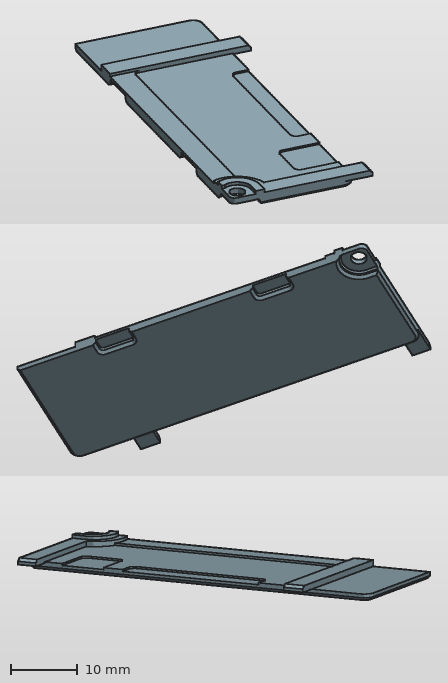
import cadquery as cq

LENGTH = 57.6
PLATE_DEPTH = 20.2
BAR_DEPTH = 23.2
REAR_CORNER_RADIUS = 1.5
PIVOT_CORNER_RADIUS = 0.9
EDGE_CHAMFER = 0.45

BASE_TOP = 1.05
FLOOR_TOP = 1.55
BAR_TOP = 2.0
RING_TOP = 2.55

LEFT_BAR_START = 9.55
LEFT_BAR_END = 12.8
RIGHT_BAR_START = 54.6

MAIN_RECESS_FRONT = 3.8
MAIN_RECESS_DEPTH = 0.35
POCKET_DEPTH = 0.3
LONG_POCKET = (18.6, 41.5, 17.2)
SQUARE_POCKET = (44.7, 51.65, 13.25)
RECESS_CORNER_RADIUS = 1.0

NOTCH_STARTS = (12.95, 39.0)
NOTCH_WIDTH = 5.55
NOTCH_DEPTH = 2.0
NOTCH_RADIUS = 0.5

PIVOT_X = 55.8
PIVOT_Y = 1.7
HOLE_DIAMETER = 2.4
CLEARANCE_RADIUS = 2.95
CLEARANCE_CHAMFER = 0.3
RING_INNER_RADIUS = 2.25
RING_OUTER_RADIUS = 3.7
RING_FLAT_X = 53.9
RING_FLAT_END = 1.0
BOSS_RADIUS = 5.05


def block(x_start, x_end, y_start, y_end, z_start, z_end):
    """Box given by its limits along each axis."""
    size = (x_end - x_start, y_end - y_start, z_end - z_start)
    return cq.Workplane("XY").box(*size, centered=False).translate((x_start, y_start, z_start))


def pivot_quadrant(radius, z_start, z_end):
    """Disc around the pivot, squared off towards the front and right edges."""
    disc = cq.Workplane("XY").center(PIVOT_X, PIVOT_Y).circle(radius).extrude(z_end - z_start)
    right_fill = block(PIVOT_X, LENGTH, 0, PIVOT_Y + radius, 0, z_end - z_start)
    limits = block(PIVOT_X - radius, LENGTH, 0, PIVOT_Y + radius, 0, z_end - z_start)
    return disc.union(right_fill).intersect(limits).translate((0, 0, z_start))


def rear_recess(x_start, x_end, y_start, floor):
    """Cutter with rounded front corners, running out through the rear edge."""
    cutter = block(x_start, x_end, y_start, BAR_DEPTH, floor, FLOOR_TOP)
    return cutter.edges("|Z and <Y").fillet(RECESS_CORNER_RADIUS)


def make_clearance():
    """Cutter for the underside of the pivot, with a chamfer along its ceiling."""
    cutter = pivot_quadrant(CLEARANCE_RADIUS, 0, BASE_TOP)
    ceiling_wall = cq.selectors.StringSyntaxSelector("not(<Y or >X)")
    return cutter.faces(">Z").edges(ceiling_wall).chamfer(CLEARANCE_CHAMFER)


def make_base():
    """Lower layer with underside notches and a chamfer on all but its front edge."""
    base = block(0, LENGTH, 0, PLATE_DEPTH, 0, BASE_TOP).edges("|Z and >Y").fillet(REAR_CORNER_RADIUS)
    for start in NOTCH_STARTS:
        notch = block(start, start + NOTCH_WIDTH, 0, NOTCH_DEPTH, 0, BASE_TOP)
        base = base.cut(notch.edges("|Z and >Y").fillet(NOTCH_RADIUS))
    base = base.cut(make_clearance())
    front_edges = cq.selectors.BoxSelector((-0.6, -0.05, -0.05), (LENGTH + 0.6, 0.05, 0.05))
    underside_edges = cq.selectors.StringSyntaxSelector("<Z")
    return base.faces("<Z").edges(underside_edges - front_edges).chamfer(EDGE_CHAMFER)


def make_plate():
    """Base with the raised floor on top and the stepped recesses cut into both."""
    floor = block(LEFT_BAR_START, LENGTH, 0, PLATE_DEPTH, BASE_TOP, FLOOR_TOP)
    plate = make_base().union(floor)
    recess_floor = FLOOR_TOP - MAIN_RECESS_DEPTH
    plate = plate.cut(rear_recess(LEFT_BAR_END, RIGHT_BAR_START, MAIN_RECESS_FRONT, recess_floor))
    for left, right, front in (LONG_POCKET, SQUARE_POCKET):
        plate = plate.cut(rear_recess(left, right, front, recess_floor - POCKET_DEPTH))
    return plate


def make_bar(x_start, x_end):
    """Cross bar with a chamfered top edge at its rear end."""
    bar = block(x_start, x_end, 0, BAR_DEPTH, BASE_TOP, BAR_TOP)
    return bar.edges(">Y and >Z").chamfer(EDGE_CHAMFER)


def make_pivot():
    """Stepped boss with a raised ring around the pivot."""
    boss_limits = block(PIVOT_X - BOSS_RADIUS, LENGTH, 0, PLATE_DEPTH, BASE_TOP, BAR_TOP)
    boss = cq.Workplane("XY").workplane(offset=BASE_TOP).center(PIVOT_X, PIVOT_Y)
    boss = boss.circle(BOSS_RADIUS).extrude(BAR_TOP - BASE_TOP).intersect(boss_limits)
    ring = pivot_quadrant(RING_OUTER_RADIUS, BAR_TOP, RING_TOP)
    ring = ring.cut(pivot_quadrant(RING_INNER_RADIUS, BAR_TOP, RING_TOP))
    ring = ring.cut(block(RING_FLAT_X, PIVOT_X, 0, RING_FLAT_END, BAR_TOP, RING_TOP))
    return boss.union(ring)


result = make_plate()
result = result.union(make_bar(LEFT_BAR_START, LEFT_BAR_END))
result = result.union(make_bar(RIGHT_BAR_START, LENGTH))
result = result.union(make_pivot())

corner = block(LENGTH - PIVOT_CORNER_RADIUS, LENGTH, 0, PIVOT_CORNER_RADIUS, 0, RING_TOP)
corner_round = cq.Workplane("XY").center(LENGTH - PIVOT_CORNER_RADIUS, PIVOT_CORNER_RADIUS)
corner_round = corner_round.circle(PIVOT_CORNER_RADIUS).extrude(RING_TOP)
result = result.cut(corner.cut(corner_round))
hole = cq.Workplane("XY").center(PIVOT_X, PIVOT_Y).circle(HOLE_DIAMETER / 2).extrude(RING_TOP)
result = result.cut(hole)